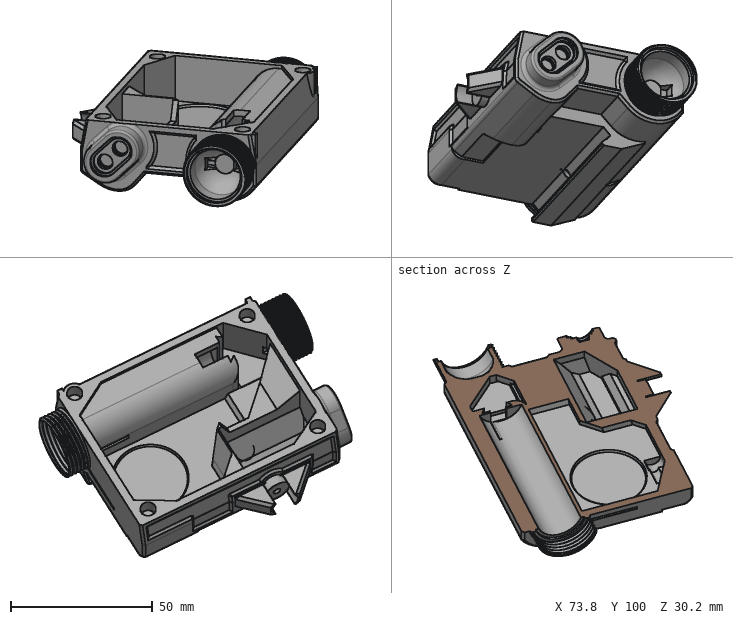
import cadquery as cq
import math


BODY_LENGTH = 80.0
WALL_RIGHT = 64.82
RIM_LEFT = 2.05
RIM_RIGHT = 62.9
SHOULDER_Z = -11.1
BELLY_Z = -18.1
EDGE_CHAMFER = 0.9
FOOT_FILLET = 2.0
REAR_FOOT_Z = -19.6
REAR_CORNER_Y = 57.8
POST_LENGTH = 2.0
POST_RIGHT = 64.5
SCREW_BUMP_R = 4.1

LOBE_X = 13.7
LOBE_BOTTOM_Z = -25.85
LOBE_R_LEFT, LOBE_R_RIGHT = 13.0, 8.5
LOBE_SLOPE_LEFT, LOBE_SLOPE_RIGHT = math.radians(31), math.radians(50)
LOBE_END_BOTTOM_Y, LOBE_END_TOP_Y = 36.0, 38.7
LOBE_END_TOP_Z = -22.1

FRONT_PORT_X, FRONT_PORT_Z = 53.0, -12.2
REAR_PORT_X, REAR_PORT_Z = 50.6, -12.0
BARREL_LOBE_R = 13.7
THREAD_D = 23.1
ROOT_D = 22.13
PITCH = 1.5
FRONT_PORT_LENGTH = 12.0
REAR_PORT_LENGTH = 8.0
PORT_RECESS_D, PORT_RECESS_DEPTH = 20.4, 1.5
PORT_BORE_D = 18.5

RAIL_SEAT_Z = -22.9
CLAW_BOTTOM_Z = -30.19
CLAW_FRONT_Y = 15.8
CLAW_CHAMFER = 0.6
CLAW_HOLE_Y, CLAW_HOLE_Z = 51.4, -24.2
PIN_D = 2.7

REAR_RIGHT_SCREW = (60.5, 74.2)
SCREWS = [(6.95, 5.5), (6.95, 74.2), (58.4, 5.5), REAR_RIGHT_SCREW]
SCREW_D, SCREW_DEPTH = 5.5, 6.0

WALL_T = 3.1
CAVITY_LEFT, CAVITY_RIGHT = 5.0, 60.0
CAVITY_BACK = BODY_LENGTH - WALL_T
CORNER_LEFT_X = 12.6
CORNER_FRONT_Y, CORNER_REAR_Y = 16.1, 63.8
CORNER_REAR_RIGHT_X = 52.0
CORNER_FRONT_RIGHT = (48.3, 14.4)
FLOOR_Z = -16.9
FRONT_FLOOR_Z = -14.5
FRONT_FLOOR_Y = 22.9
DEEP = -40.0

CHAMBER_BACK = 36.2
CHAMBER_RIGHT = 24.2
DIVIDER_RIGHT = 26.2
DIVIDER_TOP_Z = -1.8
DIVIDER_FOOT_Y = 41.7
SHELF_Z = -8.6
SHELF_HIGH_Z = -3.0
SHELF_RAMP_Y = 12.4
DROP_LOW_Y, DROP_HIGH_Y = 31.6, 34.7

TUBE_LEFT = 41.1
TUBE_R = 9.8
TUBE_Z = -11.0
TUBE_FRONT = 17.0
TUBE_CORNER_R = 4.0
BATTERY_BORE_D = 17.0
BATTERY_STOP_Y = 20.0
BATTERY_MOUTH_D = 19.25
SLOT_X0, SLOT_X1 = 48.3, 54.3
SLOT_BACK_Y = 29.0
SLOT_BOTTOM_Z = -20.0

SUMP_LEFT, SUMP_Z = 42.1, -18.5

EMITTERS = [(10.64, -13.4), (16.1, -8.0)]
EMITTER_BOSS_R = 7.45
EMITTER_BOSS_LENGTH = 6.6
EMITTER_PITCH = math.dist(EMITTERS[0], EMITTERS[1])
EMITTER_ANGLE = math.degrees(math.atan2(EMITTERS[1][1] - EMITTERS[0][1], EMITTERS[1][0] - EMITTERS[0][0]))

LUG_Y, LUG_Z = 27.5, -12.2
HUB_R = 5.0
HUB_REACH = 3.0
EAR_REACH = 9.0
EAR_TOP_Z, EAR_BOTTOM_Z = -8.5, -15.8



def box(x0, x1, y0, y1, z0, z1):
    """Box between opposite corners."""
    return cq.Workplane("XY").box(x1 - x0, y1 - y0, z1 - z0, centered=False).translate((x0, y0, z0))


def along_y(y0, y1):
    """Workplane facing -Y at y0 and the signed extrusion that reaches y1."""
    return cq.Workplane("XZ", origin=(0, y0, 0)), y0 - y1


def prism_y(points, y0, y1):
    """Prism of an (X, Z) outline along Y."""
    plane, depth = along_y(y0, y1)
    return plane.polyline(points).close().extrude(depth)


def cylinder_y(x, z, diameter, y0, y1):
    plane, depth = along_y(y0, y1)
    return plane.center(x, z).circle(diameter / 2).extrude(depth)


def prism_x(points, x0, x1):
    """Prism of a (Y, Z) outline along X."""
    return cq.Workplane("YZ", origin=(x0, 0, 0)).polyline(points).close().extrude(x1 - x0)


def cylinder_x(y, z, diameter, x0, x1):
    return cq.Workplane("YZ", origin=(x0, 0, 0)).center(y, z).circle(diameter / 2).extrude(x1 - x0)


def prism_z(points, z0, z1):
    """Prism of an (X, Y) outline along Z."""
    return cq.Workplane("XY", origin=(0, 0, z0)).polyline(points).close().extrude(z1 - z0)


def on_circle(x, z, radius, degrees):
    angle = math.radians(degrees)
    return (x + radius * math.cos(angle), z + radius * math.sin(angle))


def edges_within(corner_a, corner_b):
    return cq.selectors.BoxSelector(corner_a, corner_b)



def barrel_side(outline):
    """Finish a housing outline from the belly around the barrel lobe and up the right wall."""
    start = on_circle(FRONT_PORT_X, FRONT_PORT_Z, BARREL_LOBE_R, 225)
    bottom = on_circle(FRONT_PORT_X, FRONT_PORT_Z, BARREL_LOBE_R, 270)
    reach = WALL_RIGHT - FRONT_PORT_X
    end = (WALL_RIGHT, FRONT_PORT_Z - math.sqrt(BARREL_LOBE_R**2 - reach**2))
    return (
        outline.lineTo(start[0] - (BELLY_Z - start[1]), BELLY_Z)
        .lineTo(*start)
        .threePointArc(bottom, end)
        .lineTo(WALL_RIGHT, SHOULDER_Z)
        .lineTo(RIM_RIGHT, 0)
        .close()
    )


def chamfer_end(solid, face):
    """Chamfer one end of the housing all round except along the rim."""
    below_rim = edges_within((-1, -1, DEEP), (WALL_RIGHT + 1, BODY_LENGTH + 1, -EDGE_CHAMFER / 2))
    return solid.faces(face).edges(below_rim).chamfer(EDGE_CHAMFER)


def front_housing():
    """Housing up to the fuller rear corner, with the left lobe cut off at its sloped end."""
    left_end, right_end = -90 - math.degrees(LOBE_SLOPE_LEFT), -90 + math.degrees(LOBE_SLOPE_RIGHT)
    left = on_circle(LOBE_X, LOBE_BOTTOM_Z + LOBE_R_LEFT, LOBE_R_LEFT, left_end)
    right = on_circle(LOBE_X, LOBE_BOTTOM_Z + LOBE_R_RIGHT, LOBE_R_RIGHT, right_end)
    plane, depth = along_y(0, REAR_CORNER_Y)
    outline = (
        plane.moveTo(RIM_LEFT, 0)
        .lineTo(0, SHOULDER_Z)
        .lineTo(0, left[1] + left[0] * math.tan(LOBE_SLOPE_LEFT))
        .lineTo(*left)
        .radiusArc((LOBE_X, LOBE_BOTTOM_Z), -LOBE_R_LEFT)
        .radiusArc(right, -LOBE_R_RIGHT)
        .lineTo(right[0] + (BELLY_Z - right[1]) / math.tan(LOBE_SLOPE_RIGHT), BELLY_Z)
    )
    foot = edges_within((-1, -1, RAIL_SEAT_Z), (1, REAR_CORNER_Y + 1, SHOULDER_Z - 1))
    solid = barrel_side(outline).extrude(depth).edges("|Y").edges(foot).fillet(FOOT_FILLET)
    beyond_y, below_z = REAR_CORNER_Y + 1, LOBE_BOTTOM_Z - 1
    end_cut = [
        (LOBE_END_TOP_Y, LOBE_END_TOP_Z),
        (LOBE_END_BOTTOM_Y, LOBE_BOTTOM_Z),
        (LOBE_END_BOTTOM_Y, below_z),
        (beyond_y, below_z),
        (beyond_y, LOBE_END_TOP_Z),
    ]
    return chamfer_end(solid, "<Y").cut(prism_x(end_cut, -1, FRONT_PORT_X - BARREL_LOBE_R))


def rear_housing():
    """Rear stretch of the housing with a rounded lower left corner flush with the rail seat."""
    drop = REAR_FOOT_Z - RAIL_SEAT_Z
    corner_width, corner_r = 1.5 * drop, 1.3 * drop
    seat_right = LOBE_X + LOBE_R_RIGHT
    plane, depth = along_y(REAR_CORNER_Y, BODY_LENGTH)
    outline = (
        plane.moveTo(RIM_LEFT, 0)
        .lineTo(0, SHOULDER_Z)
        .lineTo(0, REAR_FOOT_Z)
        .radiusArc((corner_width, RAIL_SEAT_Z), -corner_r)
        .lineTo(seat_right, RAIL_SEAT_Z)
        .lineTo(seat_right, BELLY_Z)
    )
    return chamfer_end(barrel_side(outline).extrude(depth), ">Y")


def rail_mount():
    """Seat plate between the lobes with the fixed rail claw."""
    seat_left, seat_right = 12.0, 40.4
    notch_x, notch_z = 43.1, -25.8
    nose_x = 40.0
    nose_top_z = notch_z - (notch_x - nose_x)
    nose_flat, nose_bevel = 0.7, 0.6
    heel_x, heel_top_x, heel_top_z = 47.5, 56.6, -26.0
    outline = [
        (seat_left, BELLY_Z),
        (seat_left, RAIL_SEAT_Z),
        (seat_right, RAIL_SEAT_Z),
        (notch_x, notch_z),
        (nose_x, nose_top_z),
        (nose_x, nose_top_z - nose_flat),
        (nose_x + nose_bevel, CLAW_BOTTOM_Z),
        (heel_x, CLAW_BOTTOM_Z),
        (heel_top_x, heel_top_z),
        (heel_top_x, BELLY_Z),
    ]
    rear_claw_edges = edges_within(
        (nose_x - 2, BODY_LENGTH - 1, CLAW_BOTTOM_Z - 1), (heel_top_x - 2, BODY_LENGTH + 1, RAIL_SEAT_Z - 1)
    )
    mount = prism_y(outline, CLAW_FRONT_Y, BODY_LENGTH)
    return mount.faces(">Y").edges(rear_claw_edges).chamfer(CLAW_CHAMFER)


def right_wall_posts():
    """Corner posts and the screw bump that stand proud of the sloped right wall."""
    posts = cq.Workplane("XY").center(*REAR_RIGHT_SCREW).circle(SCREW_BUMP_R).extrude(SHOULDER_Z)
    for y in (EDGE_CHAMFER, BODY_LENGTH - EDGE_CHAMFER - POST_LENGTH):
        posts = posts.union(box(CAVITY_RIGHT, POST_RIGHT, y, y + POST_LENGTH, SHOULDER_Z, 0))
    return posts


def screw_holes():
    return cq.Workplane("XY").pushPoints(SCREWS).circle(SCREW_D / 2).extrude(-SCREW_DEPTH)


def claw_pin_hole():
    """Cross hole through the claw and the barrel lobe."""
    return cylinder_x(CLAW_HOLE_Y, CLAW_HOLE_Z, PIN_D, FRONT_PORT_X - BARREL_LOBE_R, WALL_RIGHT + 1)



def cavity():
    """Main cavity with cut-off corners that leave room for the screws."""
    front_right_x, front_right_y = CORNER_FRONT_RIGHT
    opening = [
        (CAVITY_LEFT, CORNER_FRONT_Y),
        (CAVITY_LEFT, CORNER_REAR_Y),
        (CORNER_LEFT_X, CAVITY_BACK),
        (CORNER_REAR_RIGHT_X, CAVITY_BACK),
        (CAVITY_RIGHT, CORNER_REAR_Y),
        (CAVITY_RIGHT, front_right_y),
        (front_right_x, WALL_T),
        (CORNER_LEFT_X, WALL_T),
    ]
    return prism_z(opening, FLOOR_Z, 0)


def floor_disc():
    """Shallow round recess with a bevelled edge in the floor."""
    center_x, center_y = 25.75, 62.8
    disc_d, disc_depth, bevel = 27.2, 0.8, 30
    plane = cq.Workplane("XY", origin=(center_x, center_y, FLOOR_Z))
    return plane.circle(disc_d / 2).extrude(-disc_depth, taper=bevel)


def floor_groove():
    """Round-bottomed groove in the floor beside the left wall, narrower toward the rear."""
    wide_d, narrow_d = 6.1, 3.3
    front_y, step_y, rear_y = 59.6, 64.6, 71.8
    wide_x, narrow_x = CAVITY_LEFT + wide_d / 2, 9.2
    wide = cylinder_y(wide_x, FLOOR_Z, wide_d, front_y, step_y)
    return wide.union(cylinder_y(narrow_x, FLOOR_Z, narrow_d, step_y, rear_y))


def front_sump():
    """Deeper pocket between the front port and the end of the battery tube."""
    front_right_x, front_right_y = CORNER_FRONT_RIGHT
    plan = [
        (SUMP_LEFT, WALL_T),
        (SUMP_LEFT, TUBE_FRONT),
        (CAVITY_RIGHT, TUBE_FRONT),
        (CAVITY_RIGHT, front_right_y),
        (front_right_x, WALL_T),
    ]
    return prism_z(plan, SUMP_Z, 0)


def divider_back_wall():
    """Wall behind the chamber: sloped rear face, mitred ends, stepping down at its right end."""
    root_z = FLOOR_Z - 1
    front_y = DROP_LOW_Y - 1
    left_x = CAVITY_LEFT - 1
    crest_y, toe_y, toe_z = 36.8, 40.5, -14.0
    side = [(front_y, DIVIDER_TOP_Z), (crest_y, DIVIDER_TOP_Z), (toe_y, toe_z),
            (DIVIDER_FOOT_Y, root_z), (front_y, root_z)]
    mitre = DIVIDER_FOOT_Y - DROP_HIGH_Y
    gusset_y, gusset_x = 45.0, 13.5
    plan = [
        (left_x, gusset_y),
        (left_x, front_y),
        (DIVIDER_RIGHT, front_y),
        (DIVIDER_RIGHT, DROP_HIGH_Y),
        (DIVIDER_RIGHT - mitre, DIVIDER_FOOT_Y),
        (gusset_y + CAVITY_LEFT - DIVIDER_FOOT_Y, DIVIDER_FOOT_Y),
        (CAVITY_LEFT, gusset_y),
    ]
    wall = prism_x(side, left_x, DIVIDER_RIGHT).intersect(prism_z(plan, DEEP, 0))
    step = [(DROP_LOW_Y, SHELF_Z), (DROP_HIGH_Y, DIVIDER_TOP_Z), (DROP_HIGH_Y, 1), (0, 1), (0, SHELF_Z)]
    wall = wall.cut(prism_x(step, CHAMBER_RIGHT, DIVIDER_RIGHT + 1))
    gusset_front = gusset_y + CAVITY_LEFT - gusset_x
    gusset = [(CAVITY_LEFT, gusset_y), (gusset_x, gusset_front), (left_x, gusset_front), (left_x, gusset_y)]
    return wall.union(prism_z(gusset, root_z, DIVIDER_TOP_Z))


def divider_shelf():
    """Shelf right of the chamber, mitred at 45 degrees and ramping up to the front wall."""
    root_z = FLOOR_Z - 1
    overlap_y = WALL_T - 1
    plan = [
        (CAVITY_LEFT, WALL_T),
        (CAVITY_LEFT, DROP_LOW_Y),
        (DIVIDER_RIGHT, DROP_LOW_Y),
        (DIVIDER_RIGHT, FRONT_FLOOR_Y),
        (DIVIDER_RIGHT + FRONT_FLOOR_Y - WALL_T, WALL_T),
    ]
    side = [
        (overlap_y, root_z),
        (overlap_y, SHELF_HIGH_Z),
        (WALL_T, SHELF_HIGH_Z),
        (SHELF_RAMP_Y, SHELF_Z),
        (DROP_LOW_Y, SHELF_Z),
        (DROP_LOW_Y, root_z),
    ]
    return prism_x(side, CAVITY_LEFT, CAVITY_RIGHT).intersect(prism_z(plan, DEEP, 0))


def front_floor():
    """Raised floor in front of the battery side, with a short ramp at its rear edge."""
    root_z = FLOOR_Z - 1
    overlap_y = WALL_T - 1
    ramp_foot_y = FRONT_FLOOR_Y + 1.3
    side = [(overlap_y, root_z), (overlap_y, FRONT_FLOOR_Z), (FRONT_FLOOR_Y, FRONT_FLOOR_Z),
            (ramp_foot_y, FLOOR_Z), (ramp_foot_y, root_z)]
    return prism_x(side, DIVIDER_RIGHT - 1, TUBE_LEFT)


def chamber():
    """Emitter chamber, sunk into the left lobe."""
    bottom_z = -23.5
    left_bench_z, left_step_x, left_step_z = -17.8, 6.7, -18.6
    trough_left, trough_left_z, trough_right = 8.6, -22.5, 15.4
    slope_x, slope_z, slope_top_z = 18.3, -22.0, -15.0
    section = [
        (CAVITY_LEFT, 0),
        (CAVITY_LEFT, left_bench_z),
        (left_step_x, left_step_z),
        (trough_left, trough_left_z),
        (trough_left, bottom_z),
        (trough_right, bottom_z),
        (slope_x, slope_z),
        (CHAMBER_RIGHT, slope_top_z),
        (CHAMBER_RIGHT, 0),
    ]
    plan = [
        (CAVITY_LEFT, CORNER_FRONT_Y),
        (CORNER_LEFT_X, WALL_T),
        (CHAMBER_RIGHT, WALL_T),
        (CHAMBER_RIGHT, CHAMBER_BACK),
        (CAVITY_LEFT, CHAMBER_BACK),
    ]
    front_slope_top, front_slope_run = -18.0, 2.2
    front_slope = [(WALL_T, front_slope_top), (WALL_T + front_slope_run, bottom_z), (WALL_T, bottom_z)]
    room = prism_y(section, WALL_T, CHAMBER_BACK).intersect(prism_z(plan, DEEP, 0))
    return room.cut(prism_x(front_slope, CAVITY_LEFT, CHAMBER_RIGHT))


def chamber_side_hole():
    """Countersunk blind hole square to the chamber's sloped wall."""
    hole_x, hole_z = 20.6, -19.9
    hole_d, hole_depth = 5.03, 2.0
    sink_d, sink_depth = 7.2, 1.2
    mouth = cq.Vector(hole_x, LUG_Y, hole_z)
    axis = cq.Vector(1, 0, -1)
    bore = cq.Solid.makeCylinder(hole_d / 2, hole_depth, mouth, axis)
    sink = cq.Solid.makeCone(sink_d / 2, hole_d / 2, sink_depth, mouth, axis)
    return cq.Workplane(bore).union(cq.Workplane(sink))



def battery_tube():
    """Battery tube with a round shoulder on the left and a flat top merging into the right wall."""
    top_z = TUBE_Z + TUBE_R
    root_z = BELLY_Z - 0.1
    rise = math.sqrt(TUBE_R**2 - (REAR_PORT_X - TUBE_LEFT)**2)
    plane, depth = along_y(TUBE_FRONT, CAVITY_BACK + 1)
    return (
        plane.moveTo(TUBE_LEFT, root_z)
        .lineTo(TUBE_LEFT, TUBE_Z + rise)
        .radiusArc((REAR_PORT_X, top_z), TUBE_R)
        .lineTo(CAVITY_RIGHT + 1, top_z)
        .lineTo(CAVITY_RIGHT + 1, root_z)
        .close()
        .extrude(depth)
        .edges("|Z and <X and <Y")
        .fillet(TUBE_CORNER_R)
    )


def battery_bore():
    """Bore open to the rear port, with the contact slot through the tube's roof and end."""
    rear = BODY_LENGTH + REAR_PORT_LENGTH
    bore = cylinder_y(REAR_PORT_X, REAR_PORT_Z, BATTERY_BORE_D, BATTERY_STOP_Y, rear)
    bore = bore.union(cylinder_y(REAR_PORT_X, REAR_PORT_Z, BATTERY_MOUTH_D, BODY_LENGTH, rear))
    slot = box(SLOT_X0, SLOT_X1, TUBE_FRONT, SLOT_BACK_Y, SLOT_BOTTOM_Z, 0)
    dovetail_x0, dovetail_x1, dovetail_depth, dovetail_flare = 46.0, 57.0, 2.0, 1.4
    dovetail = [
        (dovetail_x0 + dovetail_flare, TUBE_FRONT),
        (dovetail_x0, TUBE_FRONT + dovetail_depth),
        (dovetail_x1, TUBE_FRONT + dovetail_depth),
        (dovetail_x1 - dovetail_flare, TUBE_FRONT),
    ]
    return bore.union(slot).union(prism_z(dovetail, SLOT_BOTTOM_Z, 0))


def tube_groove():
    """Shallow groove along the rear of the tube's left wall."""
    start_y, bottom_z, top_z, depth = 63.0, -11.7, -9.9, 0.9
    return box(TUBE_LEFT - 1, TUBE_LEFT + depth, start_y, CAVITY_BACK, bottom_z, top_z)



def threaded_neck(x, z, y_wall, length, direction):
    """Externally threaded neck standing out of the wall at y_wall along direction (+1 or -1) in Y."""
    root_r, crest_r = ROOT_D / 2, THREAD_D / 2
    embed = 0.3
    base_half, crest_half = 0.7, 0.1
    core = cq.Workplane("XY").circle(root_r).extrude(length)
    helix = cq.Wire.makeHelix(PITCH, length + PITCH, root_r)
    ridge = (
        cq.Workplane("XZ")
        .polyline([
            (root_r - embed, -base_half),
            (crest_r, -crest_half),
            (crest_r, crest_half),
            (root_r - embed, base_half),
        ])
        .close()
        .sweep(cq.Workplane(obj=helix), isFrenet=True)
    )
    trim = cq.Workplane("XY").circle(crest_r + 1).extrude(length)
    neck = core.union(ridge.intersect(trim))
    return neck.rotate((0, 0, 0), (1, 0, 0), -90 * direction).translate((x, y_wall, z))


def rear_neck_root():
    """Small cone where the rear neck leaves the wall."""
    height = 0.9
    root_r = ROOT_D / 2
    base = cq.Vector(REAR_PORT_X, BODY_LENGTH, REAR_PORT_Z)
    return cq.Workplane(cq.Solid.makeCone(root_r + height, root_r, height, base, cq.Vector(0, 1, 0)))


def front_port_bore():
    """Lens seat: recess, bore and a domed bottom with a flat disc and two contact windows."""
    dome_start, dome_end = -5.0, 1.5
    dome_middle = (7.5, -1.2)
    disc_r = 3.6
    bore_r, recess_r = PORT_BORE_D / 2, PORT_RECESS_D / 2
    mouth = -FRONT_PORT_LENGTH
    bore = (
        cq.Workplane("XY")
        .moveTo(0, mouth)
        .lineTo(recess_r, mouth)
        .lineTo(recess_r, mouth + PORT_RECESS_DEPTH)
        .lineTo(bore_r, mouth + PORT_RECESS_DEPTH)
        .lineTo(bore_r, dome_start)
        .threePointArc(dome_middle, (disc_r, dome_end))
        .lineTo(0, dome_end)
        .close()
        .revolve(360, (0, 0, 0), (0, 1, 0))
        .translate((FRONT_PORT_X, 0, FRONT_PORT_Z))
    )
    half_height = 2.2
    window_start = -4.0
    for x0, x1 in ((46.3, 49.5), (56.4, 59.8)):
        window = box(x0, x1, window_start, WALL_T + 1, FRONT_PORT_Z - half_height, FRONT_PORT_Z + half_height)
        bore = bore.union(window)
    return bore



def emitter_slot(radius, y0, y1):
    """Obround along Y around both emitter holes."""
    plane, depth = along_y(y0, y1)
    mid_x = (EMITTERS[0][0] + EMITTERS[1][0]) / 2
    mid_z = (EMITTERS[0][1] + EMITTERS[1][1]) / 2
    outline = plane.center(mid_x, mid_z).slot2D(EMITTER_PITCH + 2 * radius, 2 * radius, EMITTER_ANGLE)
    return outline.extrude(depth)


def emitter_boss():
    """Slanted obround boss, rounded at its nose and blended into the wall, trimmed at the rim."""
    base_fillet, nose_fillet = 1.4, 0.8
    spread = 2 * EMITTER_BOSS_R
    (low_x, low_z), (high_x, high_z) = EMITTERS
    boss = emitter_slot(EMITTER_BOSS_R, -EMITTER_BOSS_LENGTH, 1).faces("<Y").edges().fillet(nose_fillet)
    plate = box(low_x - spread, high_x + spread, 0, 1, low_z - spread, high_z + spread)
    reach = EMITTER_BOSS_R + base_fillet
    root_edges = edges_within(
        (low_x - reach, -0.1, low_z - reach), (high_x + reach, 0.1, high_z + reach)
    )
    boss = plate.union(boss).edges(root_edges).fillet(base_fillet)
    return boss.intersect(box(0, high_x + spread, -EMITTER_BOSS_LENGTH - 1, 0, low_z - spread, 0))


def emitter_bores():
    """Stepped window seat and the two stepped blind emitter holes."""
    seat_r, step_r, seat_depth = 4.95, 4.1, 1.0
    window_d, window_depth = 5.5, 3.5
    hole_d, hole_depth = 5.03, 4.5
    mouth = -EMITTER_BOSS_LENGTH
    bores = emitter_slot(seat_r, mouth, mouth + seat_depth)
    bores = bores.union(emitter_slot(step_r, mouth, mouth + 2 * seat_depth))
    for x, z in EMITTERS:
        bores = bores.union(cylinder_y(x, z, window_d, mouth, mouth + window_depth))
        bores = bores.union(cylinder_y(x, z, hole_d, mouth, mouth + hole_depth))
    return bores



def front_panel():
    """Bevelled recess between the two front bosses, with sides concentric to them."""
    depth, bevel = 1.0, 45
    left, right, bottom, top = 24.4, 42.9, -16.2, -2.0
    emitter_clearance_r, port_clearance_r = 11.2, 13.2
    slab = box(left, right, 0, depth, bottom, top)
    slab = slab.cut(cylinder_y(*EMITTERS[1], 2 * emitter_clearance_r, -1, depth + 1))
    slab = slab.cut(cylinder_y(FRONT_PORT_X, FRONT_PORT_Z, 2 * port_clearance_r, -1, depth + 1))
    outline = slab.faces("<Y").wires().vals()
    return cq.Workplane("XZ").newObject(outline).toPending().extrude(-depth, taper=bevel)


def left_panel():
    """Bevelled recess in the left wall that steps around the lever lug."""
    depth, bevel = 0.9, 45
    front, back, step_y = 1.9, 77.9, 60.0
    top, bottom, step_z = -1.9, -17.9, -9.4
    lug_half, lug_top, bump_r = 16.3, -7.7, 6.3
    lug_lean = 0.8
    outline = [
        (front, top),
        (back, top),
        (back, step_z),
        (step_y, step_z),
        (step_y, bottom),
        (LUG_Y + lug_half, bottom),
        (LUG_Y + lug_half, lug_top),
        (LUG_Y - lug_half, lug_top),
        (LUG_Y - lug_half + lug_lean, bottom),
        (front, bottom),
    ]
    lean = math.atan2(RIM_LEFT, -SHOULDER_Z)
    origin = (0, 0, SHOULDER_Z)
    tilted = cq.Plane(origin=origin, xDir=(0, 1, 0), normal=(math.cos(lean), 0, -math.sin(lean)))
    upright = cq.Plane(origin=origin, xDir=(0, 1, 0), normal=(1, 0, 0))

    def on_wall(plane, stretch, keep):
        points = [(y, (z - SHOULDER_Z) * stretch) for y, z in outline]
        recess = cq.Workplane(plane).polyline(points).close().extrude(depth, taper=bevel)
        bump = cq.Workplane(plane).center(LUG_Y, LUG_Z - SHOULDER_Z).circle(bump_r)
        return recess.cut(bump.extrude(2 * depth, taper=-bevel)).intersect(keep)

    upper = on_wall(tilted, 1 / math.cos(lean), box(-1, CAVITY_LEFT, 0, BODY_LENGTH, SHOULDER_Z, 0))
    lower = on_wall(upright, 1, box(-1, CAVITY_LEFT, 0, BODY_LENGTH, RAIL_SEAT_Z, SHOULDER_Z))
    return upper.union(lower)



def lever_lug():
    """Two bevelled wedge ears on a pad, around a round hub."""
    pad_lip, pad_depth = 0.3, 1.5
    ear_inner, ear_flat, ear_root = 3.95, 2.0, 15.2
    ear_bevel, hub_clearance = 1.1, 0.2
    plan = [
        (1, -ear_root),
        (0, -ear_root),
        (-EAR_REACH, -ear_inner - ear_flat),
        (-EAR_REACH, -ear_inner),
        (1, -ear_inner),
    ]
    sloped_face = cq.selectors.NearestToPointSelector((-EAR_REACH / 2, -ear_root, LUG_Z))
    ear = prism_z(plan, EAR_BOTTOM_Z, EAR_TOP_Z).faces(sloped_face).edges("#Z").chamfer(ear_bevel)
    half = ear.union(box(0, pad_depth, -ear_root, 0, EAR_BOTTOM_Z - pad_lip, EAR_TOP_Z + pad_lip))
    lug = half.union(half.mirror("XZ")).translate((0, LUG_Y, 0))
    lug = lug.cut(cylinder_x(LUG_Y, LUG_Z, 2 * (HUB_R + hub_clearance), -EAR_REACH - 1, 0))
    return lug.union(cylinder_x(LUG_Y, LUG_Z, 2 * HUB_R, -HUB_REACH, pad_depth))


def lever_pin_hole():
    """Blind pin hole in the hub."""
    pin_depth = 5.5
    return cylinder_x(LUG_Y, LUG_Z, PIN_D, -HUB_REACH, pin_depth - HUB_REACH)



result = front_housing().union(rear_housing()).union(rail_mount()).union(right_wall_posts())
result = result.cut(cavity()).cut(floor_disc()).cut(floor_groove()).cut(front_sump())
result = result.union(battery_tube().cut(tube_groove()))
result = result.union(divider_back_wall()).union(divider_shelf()).union(front_floor())
result = result.cut(chamber()).cut(left_panel()).cut(front_panel())
result = result.union(lever_lug()).union(emitter_boss())
result = result.union(threaded_neck(FRONT_PORT_X, FRONT_PORT_Z, 0, FRONT_PORT_LENGTH, -1))
result = result.union(threaded_neck(REAR_PORT_X, REAR_PORT_Z, BODY_LENGTH, REAR_PORT_LENGTH, 1))
result = result.union(rear_neck_root())
result = result.cut(battery_bore()).cut(front_port_bore()).cut(emitter_bores())
result = result.cut(screw_holes()).cut(lever_pin_hole()).cut(claw_pin_hole()).cut(chamber_side_hole())